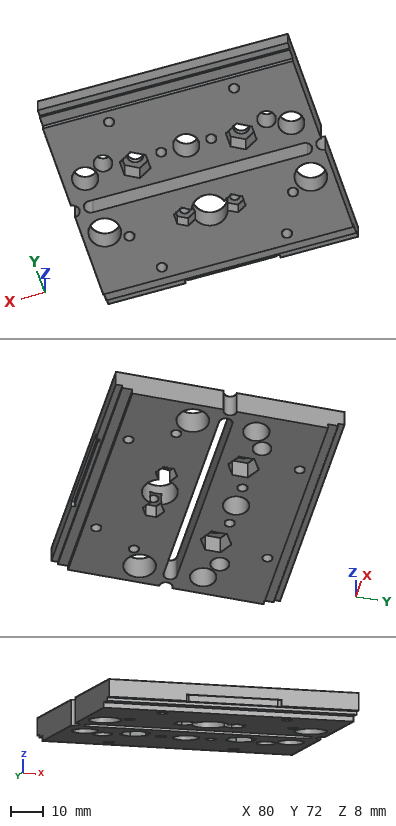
import cadquery as cq
import math

length = 80.0
width = 72.0
thickness = 8.0
half_width = width / 2

outer_step_inset = 2.0
outer_step_height = 2.6
inner_step_inset = 5.2
inner_step_height = 1.6

slot_length = 72.8
slot_width = 4.2
notch_diameter = slot_width

recess_length = 30.4
recess_center_x = 0.1
recess_depth = 0.8
recess_top = thickness - 3.4
relief_diameter = 1.0

screw_diameter = 3.1
corner_screw_x = 20.0
corner_screw_y = 27.0
center_screw_x = 8.0
outer_screw_x = 26.2
outer_screw_y = 13.5

center_hole_y = 12.0
rear_center_diameter = 8.1
front_center_diameter = 11.0
end_hole_x = 33.0
end_hole_y = 10.0
rear_end_diameter = 8.1
front_end_diameter = 10.0

rear_outer_diameter = 5.8

bolt_x = 17.0
bolt_y = end_hole_y
bolt_diameter = 5.1
bolt_land = 1.9

large_nut_width = 8.3
large_trap_depth = thickness - bolt_land
small_nut_width = 5.8
small_trap_depth = 4.6


def mirrored(x, y):
    """A left and right pair of points."""
    return [(-x, y), (x, y)]


def stepped_plate():
    """Plate with its stepped cross-section extruded along X."""
    rear_side = [
        (half_width - inner_step_inset, 0),
        (half_width - inner_step_inset, inner_step_height),
        (half_width - outer_step_inset, inner_step_height),
        (half_width - outer_step_inset, outer_step_height),
        (half_width, outer_step_height),
        (half_width, thickness),
    ]
    front_side = [(-y, z) for y, z in reversed(rear_side)]
    profile = cq.Workplane("YZ").polyline(rear_side + front_side).close()
    return profile.extrude(length / 2, both=True)


def bores(points, diameter, depth=thickness):
    """Cylinders rising from the underside."""
    return cq.Workplane("XY").pushPoints(points).circle(diameter / 2).extrude(depth)


def nut_traps(points, width_across_flats, depth):
    """Hexagonal prisms rising from the underside, with corners pointing along Y."""
    width_across_corners = width_across_flats / math.cos(math.pi / 6)
    turned_plane = cq.Plane(origin=(0, 0, 0), xDir=(0, 1, 0), normal=(0, 0, 1))
    turned_points = [(y, -x) for x, y in points]
    hexagons = cq.Workplane(turned_plane).pushPoints(turned_points).polygon(6, width_across_corners)
    return hexagons.extrude(depth)


def front_recess():
    """Shallow pocket in the front edge, whose reliefs reach beyond its back wall."""
    back_y = recess_depth - half_width
    pocket = (
        cq.Workplane("XY")
        .center(recess_center_x, -half_width)
        .rect(recess_length, 2 * recess_depth)
        .extrude(recess_top)
    )
    relief_offset = (recess_length - relief_diameter) / 2
    relief_points = [(recess_center_x + x, back_y) for x in (-relief_offset, relief_offset)]
    return pocket.union(bores(relief_points, relief_diameter, recess_top))


result = stepped_plate()
result = result.cut(cq.Workplane("XY").slot2D(slot_length, slot_width).extrude(thickness))
result = result.cut(bores(mirrored(length / 2, 0), notch_diameter))
result = result.cut(front_recess())

screw_points = (
    mirrored(corner_screw_x, corner_screw_y)
    + mirrored(corner_screw_x, -corner_screw_y)
    + mirrored(center_screw_x, center_hole_y)
    + mirrored(center_screw_x, -center_hole_y)
    + mirrored(outer_screw_x, -outer_screw_y)
)
bolt_points = mirrored(bolt_x, bolt_y)
through_holes = [
    (screw_points, screw_diameter),
    (mirrored(outer_screw_x, outer_screw_y), rear_outer_diameter),
    (mirrored(end_hole_x, end_hole_y), rear_end_diameter),
    (mirrored(end_hole_x, -end_hole_y), front_end_diameter),
    ([(0, center_hole_y)], rear_center_diameter),
    ([(0, -center_hole_y)], front_center_diameter),
    (bolt_points, bolt_diameter),
]
for hole_points, hole_diameter in through_holes:
    result = result.cut(bores(hole_points, hole_diameter))

result = result.cut(nut_traps(bolt_points, large_nut_width, large_trap_depth))
front_screw_points = mirrored(center_screw_x, -center_hole_y)
result = result.cut(nut_traps(front_screw_points, small_nut_width, small_trap_depth))